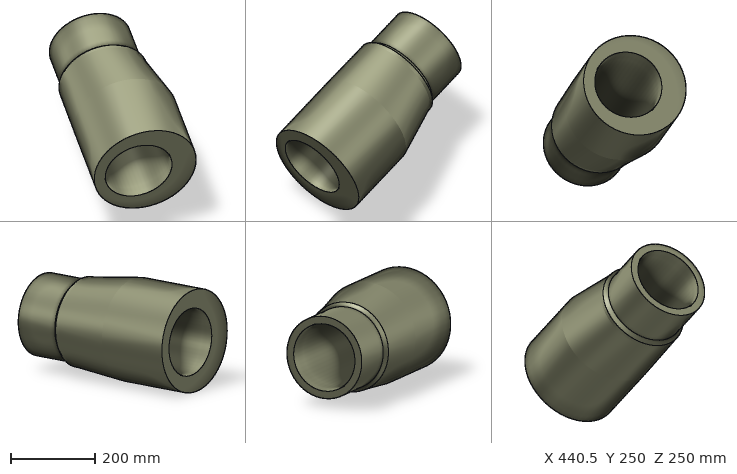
import cadquery as cq

total_length = 440.5
wide_length = 180.0
spigot_length = 110.5
chamfer_length = 9.5
collar_length = 9.5

wide_diameter = 250.0
spigot_diameter = 200.0
collar_diameter = 218.0
spigot_wall = 18.2

collar_start = spigot_length + chamfer_length
taper_start = collar_start + collar_length
taper_end = total_length - wide_length

narrow_axis_y = -(wide_diameter - collar_diameter) / 2
wide_axis_y = 0.0
bore_diameter = spigot_diameter - 2 * spigot_wall


def cross_section(x, axis_y):
    """Sketch plane square to X, centred on the given axis."""
    return cq.Workplane("YZ", origin=(x, axis_y, 0))


def cylinder(x_start, x_end, axis_y, diameter):
    return cross_section(x_start, axis_y).circle(diameter / 2).extrude(x_end - x_start)


def taper(x_start, start_y, start_diameter, x_end, end_y, end_diameter):
    """Straight-sided transition between two circles, which may be offset in Y."""
    return (
        cross_section(x_start, start_y)
        .circle(start_diameter / 2)
        .workplane(offset=x_end - x_start)
        .center(end_y - start_y, 0)
        .circle(end_diameter / 2)
        .loft(ruled=True)
    )


spigot = cylinder(0, spigot_length, narrow_axis_y, spigot_diameter)
chamfer = taper(
    spigot_length, narrow_axis_y, spigot_diameter,
    collar_start, narrow_axis_y, collar_diameter,
)
collar = cylinder(collar_start, taper_start, narrow_axis_y, collar_diameter)
eccentric_taper = taper(
    taper_start, narrow_axis_y, collar_diameter,
    taper_end, wide_axis_y, wide_diameter,
)
wide_end = cylinder(taper_end, total_length, wide_axis_y, wide_diameter)

bore = cylinder(0, total_length, narrow_axis_y, bore_diameter)

body = spigot.union(chamfer).union(collar).union(eccentric_taper).union(wide_end)
result = body.cut(bore)